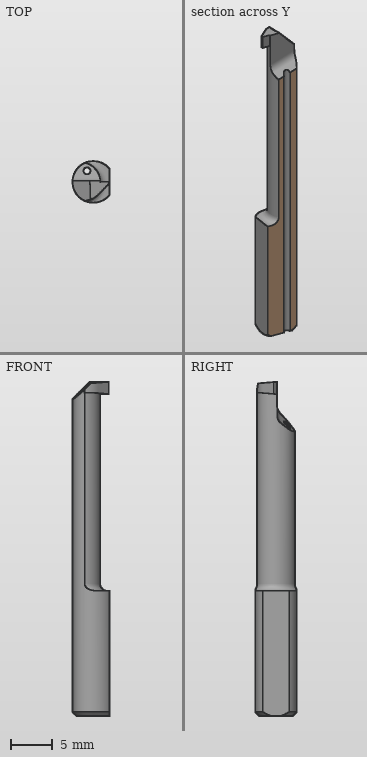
import cadquery as cq
import math

TOTAL_LENGTH = 40.0

SHANK_RADIUS = 2.5
SHANK_LENGTH = 15.0
FLAT_X = 1.95
END_CHAMFER = 0.5

NECK_RADIUS = 2.33
NECK_RIGHT_X = 0.84
NECK_AXIS_X = NECK_RIGHT_X - NECK_RADIUS
NECK_FILLET = 0.8

HEAD_WIDTH = 1.5
HEAD_TIP_X = 1.85
HEAD_LAND = 0.25
HEAD_BACK_RADIUS = 2.26
HEAD_BACK_AXIS_X = -1.08
RELIEF_ANGLE = 5.0

CORNER_TOP_X = -0.41
CORNER_ANGLE = 45.0

GULLET_Y = 0.14
GULLET_ANGLE = 45.0
GULLET_HEADING = 20.0
GULLET_AXIS_Z = 35.85
GULLET_FILLET = 1.15

COOLANT_DIAMETER = 0.8
COOLANT_X = -0.75
COOLANT_Y = 1.32

CLEARANCE = 5.0


def make_shank():
    """Full-length round bar with the lower end chamfered, then flattened on +X."""
    bar = cq.Workplane("XY").circle(SHANK_RADIUS).extrude(TOTAL_LENGTH)
    bar = bar.faces("<Z").chamfer(END_CHAMFER)
    flat_cut = cq.Workplane("XY").box(
        CLEARANCE, 2 * CLEARANCE, TOTAL_LENGTH, centered=(False, True, False)
    )
    return bar.cut(flat_cut.translate((FLAT_X, 0, 0)))


def make_neck_relief():
    """Ring around the offset neck axis, with a rounded foot at the shank shoulder."""
    outer = NECK_RADIUS + NECK_FILLET + CLEARANCE
    fillet_mid = NECK_FILLET * (1 - math.sqrt(0.5))
    profile = (
        cq.Workplane("XZ")
        .moveTo(NECK_RADIUS, TOTAL_LENGTH + CLEARANCE)
        .lineTo(NECK_RADIUS, SHANK_LENGTH + NECK_FILLET)
        .threePointArc(
            (NECK_RADIUS + fillet_mid, SHANK_LENGTH + fillet_mid),
            (NECK_RADIUS + NECK_FILLET, SHANK_LENGTH),
        )
        .lineTo(outer, SHANK_LENGTH)
        .lineTo(outer, TOTAL_LENGTH + CLEARANCE)
        .close()
    )
    ring = profile.revolve(360, (0, 0, 0), (0, 1, 0))
    return ring.translate((NECK_AXIS_X, 0, 0))


def make_head():
    """Tooth with a rounded back, a 45 degree flank and a relieved lower face."""
    diagonal = HEAD_BACK_RADIUS * math.sqrt(0.5)
    mid_angle = math.pi / 8
    height = HEAD_WIDTH + CLEARANCE
    head_bottom = TOTAL_LENGTH - HEAD_WIDTH
    relief_rise = CLEARANCE * math.tan(math.radians(RELIEF_ANGLE))
    tooth = (
        cq.Workplane("XY", origin=(0, 0, head_bottom))
        .moveTo(HEAD_BACK_AXIS_X, 0)
        .lineTo(HEAD_BACK_AXIS_X, -HEAD_BACK_RADIUS)
        .threePointArc(
            (
                HEAD_BACK_AXIS_X + HEAD_BACK_RADIUS * math.sin(mid_angle),
                -HEAD_BACK_RADIUS * math.cos(mid_angle),
            ),
            (HEAD_BACK_AXIS_X + diagonal, -diagonal),
        )
        .lineTo(HEAD_TIP_X, -HEAD_LAND)
        .lineTo(HEAD_TIP_X, 0)
        .close()
        .extrude(height)
    )
    lower_relief = (
        cq.Workplane("YZ", origin=(-CLEARANCE, 0, 0))
        .moveTo(0, head_bottom)
        .lineTo(-CLEARANCE, head_bottom + relief_rise)
        .lineTo(-CLEARANCE, head_bottom)
        .close()
        .extrude(2 * CLEARANCE)
    )
    return tooth.cut(lower_relief)


def make_relief_block(edge_x, turn):
    """Block whose underside starts at edge_x on the rake wall, falls toward -Y and turns toward -X."""
    block = cq.Workplane("XY").box(
        4 * CLEARANCE, 4 * CLEARANCE, CLEARANCE, centered=(True, True, False)
    )
    block = block.rotate((0, 0, 0), (1, 0, 0), RELIEF_ANGLE)
    block = block.rotate((0, 0, 0), (0, 1, 0), -turn)
    return block.translate((edge_x, GULLET_Y, TOTAL_LENGTH))


def make_gullet():
    """Space above a floor that climbs toward (-X, -Y), bounded by a filleted upright wall."""
    heading = math.radians(GULLET_HEADING)
    size = 4 * CLEARANCE
    space = cq.Workplane("XY").box(size, size, size, centered=(True, False, True))
    space = space.translate((0, GULLET_Y, GULLET_AXIS_Z))
    floor = cq.Workplane("XY").box(2 * size, 2 * size, 2 * size, centered=(True, True, False))
    floor = floor.translate((0, 0, -2 * size))
    floor = floor.rotate((0, 0, 0), (-math.cos(heading), math.sin(heading), 0), GULLET_ANGLE)
    space = space.cut(floor.translate((0, 0, GULLET_AXIS_Z)))
    return space.faces("<Y").edges("<Z").fillet(GULLET_FILLET)


def make_coolant_hole():
    """Straight hole along the whole length, leaving through the gullet floor."""
    return (
        cq.Workplane("XY")
        .center(COOLANT_X, COOLANT_Y)
        .circle(COOLANT_DIAMETER / 2)
        .extrude(TOTAL_LENGTH)
    )


body = make_shank().cut(make_neck_relief())
body = body.cut(make_gullet())
body = body.union(make_head())
body = body.cut(make_relief_block(0, 0))
body = body.cut(make_relief_block(CORNER_TOP_X, CORNER_ANGLE))
result = body.cut(make_coolant_hole())